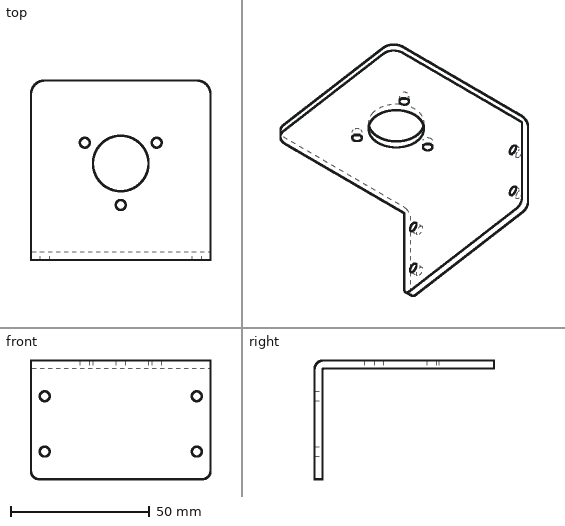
import cadquery as cq

width = 65.0
depth = 65.0
height = 43.0
thickness = 3.0
bend_outer_radius = 3.3
bend_inner_radius = bend_outer_radius - thickness
plate_corner_radius = 5.0
flange_corner_radius = 3.0

bore_diameter = 20.0
bore_from_back = 30.0
screw_hole_diameter = 3.5
screw_circle_radius = 15.0
screw_count = 3
first_screw_angle = 30.0

mount_hole_diameter = 3.5
mount_spacing_x = 55.0
mount_spacing_z = 20.0
upper_mount_depth = 13.0


def bent_sheet():
    """L-shaped sheet: front face at Y = 0, bottom at Z = 0, centred on X."""
    sheet = (
        cq.Workplane("YZ")
        .moveTo(0, 0)
        .lineTo(0, height)
        .lineTo(depth, height)
        .lineTo(depth, height - thickness)
        .lineTo(thickness, height - thickness)
        .lineTo(thickness, 0)
        .close()
        .extrude(width / 2, both=True)
    )
    outer_bend = cq.selectors.NearestToPointSelector((0, 0, height))
    inner_bend = cq.selectors.NearestToPointSelector((0, thickness, height - thickness))
    sheet = sheet.edges("|X").edges(outer_bend).fillet(bend_outer_radius)
    sheet = sheet.edges("|X").edges(inner_bend).fillet(bend_inner_radius)
    sheet = sheet.faces(">Y").edges("|Z").fillet(plate_corner_radius)
    return sheet.faces("<Z").edges("|Y").fillet(flange_corner_radius)


def plate_holes():
    """Central bore and its ring of screw holes through the horizontal plate."""
    plane = cq.Workplane("XY", origin=(0, depth - bore_from_back, height - thickness))
    bore = plane.circle(bore_diameter / 2).extrude(thickness)
    screws = (
        plane.polarArray(screw_circle_radius, first_screw_angle, 360, screw_count)
        .circle(screw_hole_diameter / 2)
        .extrude(thickness)
    )
    return bore.union(screws)


def flange_holes():
    """Rectangular pattern of mounting holes through the vertical flange."""
    pattern_center_z = height - upper_mount_depth - mount_spacing_z / 2
    return (
        cq.Workplane("XZ", origin=(0, 0, pattern_center_z))
        .rarray(mount_spacing_x, mount_spacing_z, 2, 2)
        .circle(mount_hole_diameter / 2)
        .extrude(-thickness)
    )


result = bent_sheet().cut(plate_holes()).cut(flange_holes())